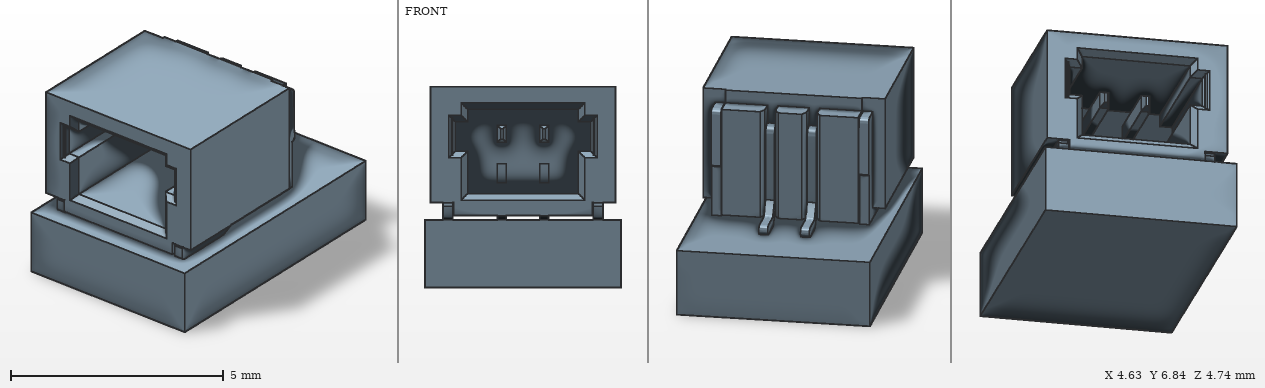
import cadquery as cq
import math


board_width = 4.63
board_length = 6.84
board_thickness = 1.6

front_y = 0.39
housing_width = 4.365
housing_top_z = 3.14
housing_bottom_z = 0.405
wing_back_y = 4.125
shell_back_y = 4.185
keel_bottom_z = 0.095
keel_width = 3.27

rear_block_back_y = 4.68
rear_block_top_z = 2.825
rear_block_bottom_z = 0.19

mouth_half_width = 1.46
mouth_bottom_z = 0.465
mouth_top_z = 2.755
key_half_width = 1.75
key_bottom_z = 1.465
key_top_z = 2.46
mouth_chamfer = 0.15
cavity_end_y = 3.695

tab_inner_x = 1.655
tab_thickness = 0.23
tab_front_y = 0.445
tab_back_y = 4.685
tab_back_top_y = 4.665
tab_top_z = 2.805
tab_top_radius = 0.12
tab_relief_y = 4.595
tab_relief_top_z = 1.415
tab_relief_chamfer = 0.055
tab_rear_bottom_z = 0.145
tab_ramp_back_y = 2.305
tab_foot_back_y = 1.99
tab_foot_radius = 0.08
tab_shoulder_height = 0.08
tab_shoulder_setback = 0.04
tab_shoulder_radius = 0.095

contact_pitch = 1.0
contact_thickness = 0.21
foot_back_y = 5.43
foot_heel_y = 4.68
foot_height = 0.24
foot_radius = 0.1
heel_radius = 0.095
leg_angle = 55.0
leg_corner_y = 4.79
leg_bend_radius = 0.1
spine_back_y = 4.54
spine_front_y = 4.16
spine_top_z = 2.43
spine_back_radius = 0.19
spine_front_radius = 0.17
prong_bottom_z = 0.87
prong_top_z = 1.32
pin_bottom_z = 1.825
pin_top_z = 2.22
pin_front_y = 1.505
pin_tip_length = 0.2
pin_shoulder_y = pin_front_y + pin_tip_length
pin_tip_inset = 0.075

slot_width = 0.25
slot_mouth_width = 0.43
slot_flare_start_y = 4.515

contact_positions = [-contact_pitch / 2, contact_pitch / 2]


def box(x_range, y_range, z_range):
    """Axis-aligned box between three pairs of limits."""
    (x0, x1), (y0, y1), (z0, z1) = x_range, y_range, z_range
    return cq.Workplane("XY").box(x1 - x0, y1 - y0, z1 - z0, centered=False).translate((x0, y0, z0))


def centred_box(width, y_range, z_range):
    """Box that is symmetric about X = 0."""
    return box((-width / 2, width / 2), y_range, z_range)


def make_board():
    """Plain rectangular board under the connector."""
    return centred_box(board_width, (0, board_length), (-board_thickness, 0))


def cavity_outline(inset):
    """Corner points (x, z) of the stepped cavity, moved inwards by inset."""
    x_main = mouth_half_width - inset
    x_key = key_half_width - inset
    right_side = [
        (x_main, mouth_bottom_z + inset),
        (x_main, key_bottom_z + inset),
        (x_key, key_bottom_z + inset),
        (x_key, key_top_z - inset),
        (x_main, key_top_z - inset),
        (x_main, mouth_top_z - inset),
    ]
    left_side = [(-x, z) for x, z in reversed(right_side)]
    return right_side + left_side


def cavity_wire(inset, y):
    """Closed cavity outline in the plane at y."""
    points = [cq.Vector(x, y, z) for x, z in cavity_outline(inset)]
    return cq.Wire.makePolygon(points, close=True)


def make_cavity():
    """Stepped chamber with a 45 degree chamfer around its mouth."""
    throat_y = front_y + mouth_chamfer
    mouth = cq.Solid.makeLoft([cavity_wire(0, front_y), cavity_wire(mouth_chamfer, throat_y)], True)
    depth = cq.Vector(0, cavity_end_y - throat_y, 0)
    chamber = cq.Solid.extrudeLinear(cavity_wire(mouth_chamfer, throat_y), [], depth)
    return cq.Workplane(mouth).union(cq.Workplane(chamber))


def make_contact_slot(x):
    """Vertical slot in the rear block with a flared opening at the back."""
    half_width = slot_width / 2
    half_mouth = slot_mouth_width / 2
    height = rear_block_top_z - rear_block_bottom_z
    return (
        cq.Workplane("XY", origin=(x, 0, rear_block_bottom_z))
        .moveTo(-half_width, shell_back_y)
        .lineTo(half_width, shell_back_y)
        .lineTo(half_width, slot_flare_start_y)
        .lineTo(half_mouth, rear_block_back_y)
        .lineTo(-half_mouth, rear_block_back_y)
        .lineTo(-half_width, slot_flare_start_y)
        .close()
        .extrude(height)
    )


def make_mounting_tab(x_start):
    """Plate of one mounting tab, drawn in the YZ plane and extruded along +X."""
    shoulder_y = tab_front_y + tab_shoulder_setback
    shoulder_z = housing_bottom_z - tab_shoulder_height
    plate = (
        cq.Workplane("YZ", origin=(x_start, 0, 0))
        .moveTo(tab_front_y, tab_top_z)
        .lineTo(tab_front_y, housing_bottom_z)
        .lineTo(shoulder_y, housing_bottom_z)
        .radiusArc((tab_front_y, shoulder_z), tab_shoulder_radius)
        .lineTo(tab_front_y, tab_foot_radius)
        .radiusArc((tab_front_y + tab_foot_radius, 0), -tab_foot_radius)
        .lineTo(tab_foot_back_y, 0)
        .lineTo(tab_ramp_back_y, tab_rear_bottom_z)
        .lineTo(tab_relief_y, tab_rear_bottom_z)
        .lineTo(tab_relief_y, tab_relief_top_z - tab_relief_chamfer)
        .lineTo(tab_back_y, tab_relief_top_z)
        .lineTo(tab_back_top_y, tab_top_z)
        .close()
        .extrude(tab_thickness)
    )
    top_back_corner = cq.selectors.NearestToPointSelector((x_start, tab_back_top_y, tab_top_z))
    return plate.edges(top_back_corner).fillet(tab_top_radius)


def make_housing(contacts):
    """Shell, keel, rear block and mounting tabs, hollowed for the cavity and the contacts."""
    housing = centred_box(housing_width, (front_y, wing_back_y), (housing_bottom_z, housing_top_z))
    housing = housing.union(
        centred_box(keel_width, (front_y, shell_back_y), (keel_bottom_z, housing_top_z))
    )
    housing = housing.union(
        centred_box(
            keel_width,
            (shell_back_y, rear_block_back_y),
            (rear_block_bottom_z, rear_block_top_z),
        )
    )
    housing = housing.cut(make_cavity())
    for x_start in (-tab_inner_x - tab_thickness, tab_inner_x):
        housing = housing.union(make_mounting_tab(x_start))
    for x in contact_positions:
        housing = housing.cut(make_contact_slot(x))
    for contact in contacts:
        housing = housing.cut(contact)
    return housing


def make_pin_tip(x):
    """Tapered end of the mating pin."""
    pin_height = pin_top_z - pin_bottom_z
    pin_middle_z = (pin_top_z + pin_bottom_z) / 2
    return (
        cq.Workplane("XZ", origin=(x, pin_shoulder_y, pin_middle_z))
        .rect(contact_thickness, pin_height)
        .workplane(offset=pin_tip_length)
        .rect(contact_thickness - 2 * pin_tip_inset, pin_height - 2 * pin_tip_inset)
        .loft(combine=True)
    )


def make_contact(x):
    """Stamped contact: solder foot, sloping leg, spine, retaining prong and mating pin."""
    leg_slope = math.tan(math.radians(leg_angle))
    leg_top_z = foot_height + (leg_corner_y - spine_back_y) * leg_slope
    leg_underside_z = (foot_heel_y - spine_front_y) * leg_slope
    contact = (
        cq.Workplane("YZ", origin=(x - contact_thickness / 2, 0, 0))
        .moveTo(foot_heel_y, 0)
        .lineTo(foot_back_y, 0)
        .lineTo(foot_back_y, foot_height)
        .lineTo(leg_corner_y, foot_height)
        .lineTo(spine_back_y, leg_top_z)
        .lineTo(spine_back_y, spine_top_z)
        .lineTo(spine_front_y, spine_top_z)
        .lineTo(spine_front_y, pin_top_z)
        .lineTo(pin_shoulder_y, pin_top_z)
        .lineTo(pin_shoulder_y, pin_bottom_z)
        .lineTo(spine_front_y, pin_bottom_z)
        .lineTo(spine_front_y, prong_top_z)
        .lineTo(cavity_end_y, prong_top_z)
        .lineTo(cavity_end_y, prong_bottom_z)
        .lineTo(spine_front_y, prong_bottom_z)
        .lineTo(spine_front_y, leg_underside_z)
        .close()
        .extrude(contact_thickness)
    )
    rounded_corners = [
        (foot_heel_y, 0, heel_radius),
        (foot_back_y, 0, foot_radius),
        (foot_back_y, foot_height, foot_radius),
        (leg_corner_y, foot_height, leg_bend_radius),
        (spine_back_y, spine_top_z, spine_back_radius),
        (spine_front_y, spine_top_z, spine_front_radius),
    ]
    for y, z, radius in rounded_corners:
        contact = contact.edges(cq.selectors.NearestToPointSelector((x, y, z))).fillet(radius)
    return contact.union(make_pin_tip(x))


board = make_board()
contacts = [make_contact(x) for x in contact_positions]
housing = make_housing(contacts)

result = cq.Compound.makeCompound(
    [board.val(), housing.val(), *[contact.val() for contact in contacts]]
)